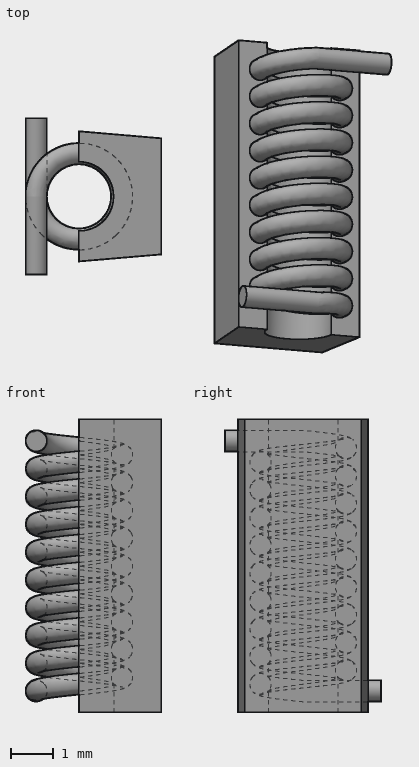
import cadquery as cq

wire_diameter = 0.5
wire_radius = wire_diameter / 2
coil_radius = 1.0
turns = 9
lead_length = 1.83

block_height = 6.86
block_depth = 1.93
wide_face_width = 3.05
narrow_face_width = 2.72
bore_radius = 0.81

lead_inset = 0.505
winding_height = block_height - 2 * lead_inset
pitch = winding_height / turns
bottom_lead_z = lead_inset
top_lead_z = block_height - lead_inset


def make_lead(height, direction):
    """Straight wire tangent to the coil, running along +Y (1) or -Y (-1)."""
    root = cq.Vector(-coil_radius, 0, height)
    return cq.Solid.makeCylinder(wire_radius, lead_length, root, cq.Vector(0, direction, 0))


def make_winding_piece(turn_count, start_z, start_angle):
    """Right-handed helical wire rising from a height and an angle about Z, measured from +X."""
    path = cq.Wire.makeHelix(pitch, turn_count * pitch, coil_radius)
    return (
        cq.Workplane("XZ")
        .center(coil_radius, 0)
        .circle(wire_radius)
        .sweep(cq.Workplane(obj=path), isFrenet=True)
        .rotate((0, 0, 0), (0, 0, 1), start_angle)
        .translate((0, 0, start_z))
    )


def make_winding_pieces():
    """Pieces of the winding from bottom to top, which meet on the +X side inside the block.

    The winding starts and ends on the -X side, so its first and last pieces are half turns.
    """
    first_joint_z = bottom_lead_z + pitch / 2
    last_joint_z = top_lead_z - pitch / 2
    pieces = [make_winding_piece(0.5, bottom_lead_z, 180)]
    for turn in range(turns - 1):
        pieces.append(make_winding_piece(1, first_joint_z + turn * pitch, 0))
    pieces.append(make_winding_piece(0.5, last_joint_z, 0))
    return pieces


def make_coil(winding_pieces):
    """The whole winding and both leads, joined into one wire."""
    coil = cq.Workplane(obj=make_lead(bottom_lead_z, 1))
    for piece in winding_pieces:
        coil = coil.union(piece)
    return coil.union(make_lead(top_lead_z, -1))


def make_block(winding_pieces):
    """Tapered block with an open bore and a helical groove that holds the coil."""
    outline = [
        (0, -wide_face_width / 2),
        (block_depth, -narrow_face_width / 2),
        (block_depth, narrow_face_width / 2),
        (0, wide_face_width / 2),
    ]
    block = cq.Workplane("XY").polyline(outline).close().extrude(block_height)
    bore = cq.Workplane("XY").circle(bore_radius).extrude(block_height)
    block = block.cut(bore)
    for piece in winding_pieces:
        block = block.cut(piece)
    return block


winding_pieces = make_winding_pieces()
coil = make_coil(winding_pieces)
block = make_block(winding_pieces)

result = cq.Compound.makeCompound([coil.solids().val(), block.solids().val()])